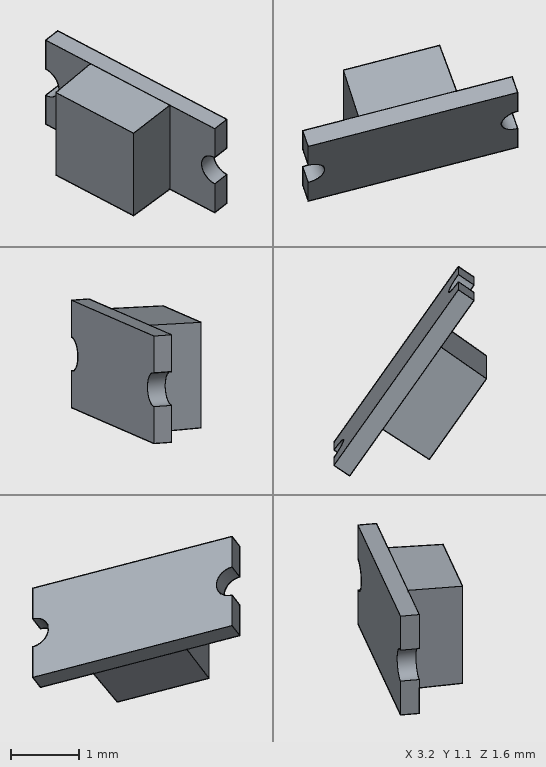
import cadquery as cq

board_length = 3.2
board_height = 1.6
board_thickness = 0.28
notch_radius = 0.25

overall_depth = 1.1
lens_depth = overall_depth - board_thickness
lens_base_width = 1.5
lens_base_height = board_height
lens_draft_angle = 1.0


def make_board():
    """Rectangular plate with a half-round notch in the middle of each short edge."""
    plate = cq.Workplane("XZ").rect(board_length, board_height).extrude(board_thickness)
    notches = (
        cq.Workplane("XZ")
        .pushPoints([(side * board_length / 2, 0) for side in (-1, 1)])
        .circle(notch_radius)
        .extrude(board_thickness)
    )
    return plate.cut(notches)


def make_lens():
    """Drafted block that narrows slightly from the board to its front face."""
    return (
        cq.Workplane("XZ", origin=(0, -board_thickness, 0))
        .rect(lens_base_width, lens_base_height)
        .extrude(lens_depth, taper=lens_draft_angle)
    )


board = make_board()
lens = make_lens()

result = cq.Compound.makeCompound([board.val(), lens.val()])